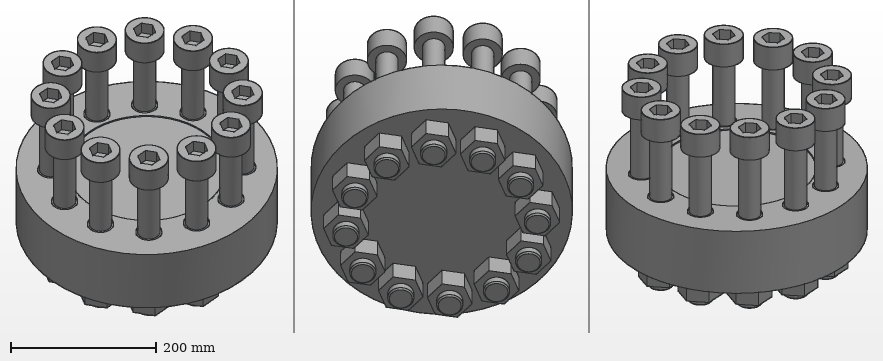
import cadquery as cq
import math

DISC_DIAMETER = 360.0
DISC_THICKNESS = 98.0
RECESS_DIAMETER = 218.0
RECESS_DEPTH = 2.0

BOLT_COUNT = 12
BOLT_CIRCLE_DIAMETER = 264.5
BOLT_SPACING = 360 / BOLT_COUNT

THREAD_DIAMETER = 36.0
SHANK_DIAMETER = 31.0
HEAD_DIAMETER = 54.0
HEAD_HEIGHT = THREAD_DIAMETER
HEAD_CHAMFER = 0.55
SOCKET_ACROSS_FLATS = 27.0
SOCKET_DEPTH = HEAD_HEIGHT / 2
TIP_CHAMFER = 2.0
EXPOSED_SHANK = 100.0
OVERALL_HEIGHT = 276.0

HEAD_BASE = DISC_THICKNESS + EXPOSED_SHANK
HEAD_TOP = HEAD_BASE + HEAD_HEIGHT
BOLT_TIP = HEAD_TOP - OVERALL_HEIGHT
SHOULDER_HEIGHT = (THREAD_DIAMETER - SHANK_DIAMETER) / 2

NUT_HEIGHT = 30.5
NUT_ACROSS_FLATS = HEAD_DIAMETER


def hexagon(across_flats, bottom, top):
    """Hexagonal prism with two corners in line with the Y axis."""
    across_corners = across_flats / math.cos(math.radians(30))
    prism = cq.Workplane("XY").workplane(offset=bottom).polygon(6, across_corners).extrude(top - bottom)
    return prism.rotate((0, 0, 0), (0, 0, 1), 90)


def make_disc():
    disc = cq.Workplane("XY").circle(DISC_DIAMETER / 2).extrude(DISC_THICKNESS)
    return disc.faces(">Z").workplane().hole(RECESS_DIAMETER, RECESS_DEPTH)


def make_bolt():
    """Bolt on the Z axis; its 45 degree thread shoulder ends level with the disc top."""
    thread_radius = THREAD_DIAMETER / 2
    shank_radius = SHANK_DIAMETER / 2
    head_radius = HEAD_DIAMETER / 2
    half_profile = (
        cq.Workplane("XZ")
        .moveTo(0, BOLT_TIP)
        .lineTo(thread_radius - TIP_CHAMFER, BOLT_TIP)
        .lineTo(thread_radius, BOLT_TIP + TIP_CHAMFER)
        .lineTo(thread_radius, DISC_THICKNESS - SHOULDER_HEIGHT)
        .lineTo(shank_radius, DISC_THICKNESS)
        .lineTo(shank_radius, HEAD_BASE)
        .lineTo(head_radius, HEAD_BASE)
        .lineTo(head_radius, HEAD_TOP - HEAD_CHAMFER)
        .lineTo(head_radius - HEAD_CHAMFER, HEAD_TOP)
        .lineTo(0, HEAD_TOP)
        .close()
    )
    bolt = half_profile.revolve(360, (0, 0, 0), (0, 1, 0))
    return bolt.cut(hexagon(SOCKET_ACROSS_FLATS, HEAD_TOP - SOCKET_DEPTH, HEAD_TOP))


def at_bolt_positions(shape):
    """Copies of a shape around the bolt circle, each keeping its orientation."""
    radius = BOLT_CIRCLE_DIAMETER / 2
    copies = cq.Workplane("XY")
    for index in range(BOLT_COUNT):
        angle = math.radians((index + 0.5) * BOLT_SPACING)
        copies.add(shape.translate((radius * math.cos(angle), radius * math.sin(angle), 0)))
    return copies.combine()


bolt_hole = cq.Workplane("XY").circle(THREAD_DIAMETER / 2).extrude(DISC_THICKNESS)
fastener = make_bolt().union(hexagon(NUT_ACROSS_FLATS, -NUT_HEIGHT, 0))

result = make_disc().cut(at_bolt_positions(bolt_hole)).union(at_bolt_positions(fastener))